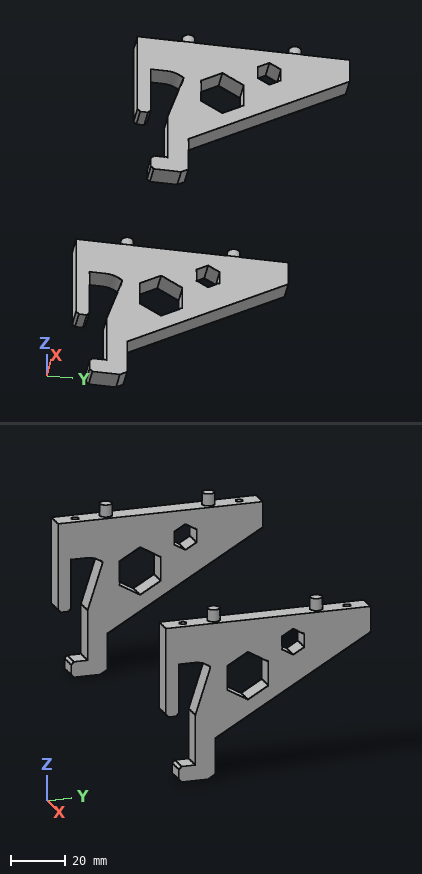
import cadquery as cq
import math

overall_width = 134.0
bracket_thickness = 8.0
bracket_length = 80.0
bracket_drop = 60.8

tail_height = 10.0
slope_angle = 30.0

finger_thickness = 5.1
finger_length = 34.8
tip_chamfer = 1.1

leg_back = 19.3
leg_front = 11.5
leg_taper_start = 35.1
foot_height = 6.2
heel_chamfer_length = 2.8

slot_roof_depth = 14.6
slot_arc_start = 11.3
slot_corner_y = 17.4
slot_corner_depth = 17.0

hex_windows = [(49.7, 10.6, 8.7), (32.0, 22.0, 16.1)]

peg_diameter = 4.8
peg_height = 4.7
peg_spacing = 40.0
screw_diameter = 2.7
screw_depth = 10.0
screw_spacing = 64.0


def make_plate():
    """Side outline of the bracket, extruded along X about the plane X = 0."""
    slope = math.tan(math.radians(slope_angle))
    leg_top = -tail_height - (bracket_length - leg_back) * slope
    heel_height = heel_chamfer_length * slope
    foot_top = -bracket_drop + foot_height

    arc_run = slot_corner_y - slot_arc_start
    arc_fall = slot_corner_depth - slot_roof_depth
    arc_radius = (arc_run**2 + arc_fall**2) / (2 * arc_fall)
    half_angle = math.asin(arc_run / arc_radius) / 2
    arc_mid_y = slot_arc_start + arc_radius * math.sin(half_angle)
    arc_mid_z = -slot_roof_depth - arc_radius * (1 - math.cos(half_angle))

    return (
        cq.Workplane("YZ")
        .moveTo(0, 0)
        .lineTo(bracket_length, 0)
        .lineTo(bracket_length, -tail_height)
        .lineTo(leg_back, leg_top)
        .lineTo(leg_back, -bracket_drop + heel_height)
        .lineTo(leg_back - heel_chamfer_length, -bracket_drop)
        .lineTo(finger_thickness + tip_chamfer, -bracket_drop)
        .lineTo(finger_thickness, -bracket_drop + tip_chamfer)
        .lineTo(finger_thickness, foot_top - tip_chamfer)
        .lineTo(finger_thickness + tip_chamfer, foot_top)
        .lineTo(leg_front, foot_top)
        .lineTo(leg_front, -leg_taper_start)
        .lineTo(slot_corner_y, -slot_corner_depth)
        .threePointArc((arc_mid_y, arc_mid_z), (slot_arc_start, -slot_roof_depth))
        .lineTo(finger_thickness, -slot_roof_depth)
        .lineTo(finger_thickness, -finger_length + tip_chamfer)
        .lineTo(finger_thickness - tip_chamfer, -finger_length)
        .lineTo(tip_chamfer, -finger_length)
        .lineTo(0, -finger_length + tip_chamfer)
        .close()
        .extrude(bracket_thickness / 2, both=True)
    )


def make_hex_window(y, depth, across_flats):
    """Hexagonal prism along X with corners pointing up and down."""
    across_corners = across_flats / math.cos(math.radians(30))
    return (
        cq.Workplane("YZ")
        .polygon(6, across_corners)
        .extrude(bracket_thickness / 2, both=True)
        .rotate((0, 0, 0), (1, 0, 0), 90)
        .translate((0, y, -depth))
    )


def make_top_cylinders(spacing, diameter, height):
    """Pair of vertical cylinders starting at the top face; negative height goes down."""
    middle = bracket_length / 2
    return (
        cq.Workplane("XY")
        .pushPoints([(0, middle - spacing / 2), (0, middle + spacing / 2)])
        .circle(diameter / 2)
        .extrude(height)
    )


def make_bracket(x):
    """One complete bracket, with its pegs, centred at the given X."""
    bracket = make_plate()
    for y, depth, across_flats in hex_windows:
        bracket = bracket.cut(make_hex_window(y, depth, across_flats))
    bracket = bracket.union(make_top_cylinders(peg_spacing, peg_diameter, peg_height))
    bracket = bracket.cut(make_top_cylinders(screw_spacing, screw_diameter, -screw_depth))
    return bracket.translate((x, 0, 0))


bracket_offset = (overall_width - bracket_thickness) / 2
brackets = [make_bracket(side * bracket_offset) for side in (-1, 1)]

result = cq.Compound.makeCompound([bracket.solids().val() for bracket in brackets])